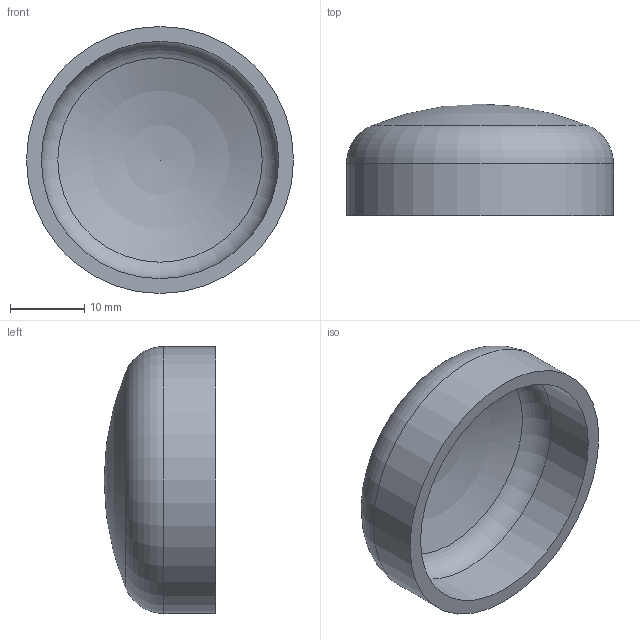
import cadquery as cq
import math

outer_diameter = 36.0
wall = 2.0
skirt_length = 7.0

outer_radius = outer_diameter / 2
inner_radius = outer_radius - wall

inner_crown_radius = outer_diameter
inner_knuckle_radius = outer_diameter / 10
outer_crown_radius = inner_crown_radius + wall
outer_knuckle_radius = inner_knuckle_radius + wall

knuckle_center_x = inner_radius - inner_knuckle_radius
crown_to_knuckle = inner_crown_radius - inner_knuckle_radius
tangent_angle = math.asin(knuckle_center_x / crown_to_knuckle)
crown_center_y = skirt_length - crown_to_knuckle * math.cos(tangent_angle)


def knuckle_point(radius, angle):
    """Point on a knuckle arc, with the angle measured from the cap axis."""
    x = knuckle_center_x + radius * math.sin(angle)
    y = skirt_length + radius * math.cos(angle)
    return (x, y)


def crown_point(radius, angle):
    """Point on a crown arc, with the angle measured from the cap axis."""
    x = radius * math.sin(angle)
    y = crown_center_y + radius * math.cos(angle)
    return (x, y)


def domed_body(skirt_radius, knuckle_radius, crown_radius):
    """Solid of revolution about Y bounded by skirt, knuckle and crown."""
    knuckle_middle_angle = (tangent_angle + math.pi / 2) / 2
    crown_middle_angle = tangent_angle / 2
    profile = (
        cq.Workplane("XY")
        .moveTo(0, 0)
        .lineTo(skirt_radius, 0)
        .lineTo(skirt_radius, skirt_length)
        .threePointArc(
            knuckle_point(knuckle_radius, knuckle_middle_angle),
            knuckle_point(knuckle_radius, tangent_angle),
        )
        .threePointArc(
            crown_point(crown_radius, crown_middle_angle),
            crown_point(crown_radius, 0),
        )
        .close()
    )
    return profile.revolve(360, (0, 0, 0), (0, 1, 0))


outer_body = domed_body(outer_radius, outer_knuckle_radius, outer_crown_radius)
cavity = domed_body(inner_radius, inner_knuckle_radius, inner_crown_radius)

result = outer_body.cut(cavity)